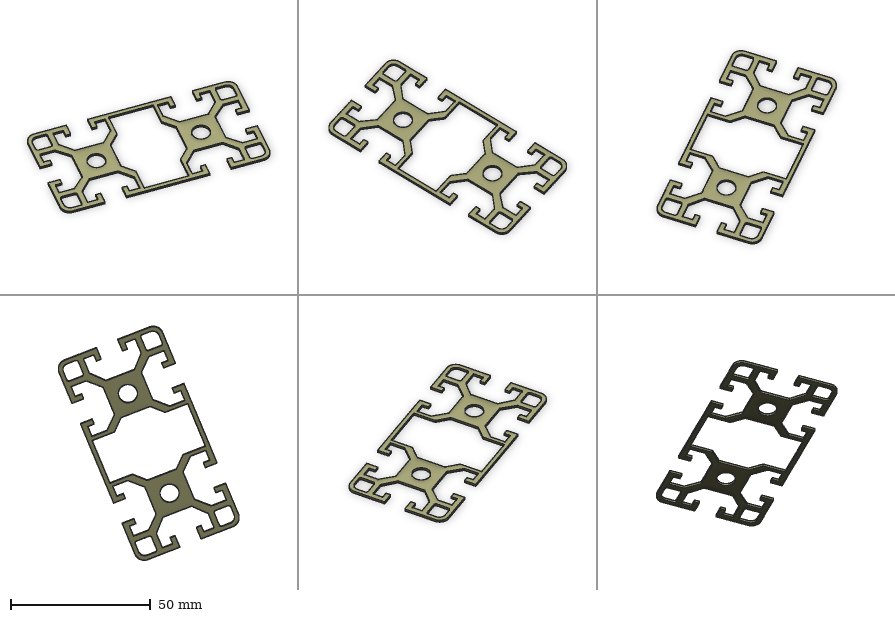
import cadquery as cq

CELL = 40.0
HALF_CELL = CELL / 2
WIDTH = CELL
LENGTH = 2 * CELL
THICKNESS = 1.0
CORNER_RADIUS = 3.55
CELL_CENTERS_Y = (-HALF_CELL, HALF_CELL)

BORE_DIAMETER = 6.8
CORE_HALF_WIDTH = 7.4

SLOT_MOUTH_HALF_WIDTH = 4.1
SLOT_FLOOR_HALF_WIDTH = 5.5
CHAMBER_HALF_WIDTH = 10.0
LIP_LENGTH = 4.55
LIP_WIDTH = 1.9
SKIN_THICKNESS = 2.05
CHAMBER_DEPTH = 7.85

OUTER_WALL = 1.55
POCKET_FAR_SIDE = 7.9
POCKET_OUTER_RADIUS = 2.4
POCKET_SMALL_RADIUS = 0.8

CAVITY_HALF_WIDTH = HALF_CELL - OUTER_WALL
CAVITY_HALF_LENGTH = 8.55
CAVITY_TAPER_START_X = 9.75
CAVITY_TAPER_END_X = 5.6
CAVITY_END_Y = HALF_CELL - CORE_HALF_WIDTH


def make_plate():
    """Rounded rectangular blank, centered in X and Y, standing on Z = 0."""
    blank = cq.Workplane("XY").rect(WIDTH, LENGTH).extrude(THICKNESS)
    return blank.edges("|Z").fillet(CORNER_RADIUS)


def make_slot(center_y, angle):
    """T-slot open toward +Y of a cell, turned by angle about the cell center."""
    lip_inner = HALF_CELL - LIP_LENGTH
    chamber_top = HALF_CELL - SKIN_THICKNESS
    taper_start = HALF_CELL - CHAMBER_DEPTH
    lip_back = SLOT_MOUTH_HALF_WIDTH + LIP_WIDTH
    right_side = [
        (SLOT_MOUTH_HALF_WIDTH, HALF_CELL),
        (SLOT_MOUTH_HALF_WIDTH, lip_inner),
        (lip_back, lip_inner),
        (lip_back, chamber_top),
        (CHAMBER_HALF_WIDTH, chamber_top),
        (CHAMBER_HALF_WIDTH, taper_start),
        (SLOT_FLOOR_HALF_WIDTH, CORE_HALF_WIDTH),
    ]
    left_side = [(-x, y) for x, y in reversed(right_side)]
    slot = cq.Workplane("XY").polyline(right_side + left_side).close().extrude(THICKNESS)
    return slot.rotate((0, 0, 0), (0, 0, 1), angle).translate((0, center_y, 0))


def make_corner_pocket():
    """Through pocket in the +X +Y corner, with a large radius at the outside."""
    size = POCKET_FAR_SIDE - OUTER_WALL
    center_inset = (POCKET_FAR_SIDE + OUTER_WALL) / 2
    pocket = cq.Workplane("XY").rect(size, size).extrude(THICKNESS)
    pocket = pocket.edges("|Z").edges(">(1, 1, 0)").fillet(POCKET_OUTER_RADIUS)
    half_size = size / 2
    for x_sign, y_sign in ((-1, -1), (-1, 1), (1, -1)):
        corner = cq.selectors.NearestToPointSelector(
            (x_sign * half_size, y_sign * half_size, THICKNESS / 2)
        )
        pocket = pocket.edges("|Z").edges(corner).fillet(POCKET_SMALL_RADIUS)
    return pocket.translate((WIDTH / 2 - center_inset, LENGTH / 2 - center_inset, 0))


def make_central_cavity():
    """Through cavity between the cells, tapering toward each core."""
    upper_half = [
        (CAVITY_HALF_WIDTH, CAVITY_HALF_LENGTH),
        (CAVITY_TAPER_START_X, CAVITY_HALF_LENGTH),
        (CAVITY_TAPER_END_X, CAVITY_END_Y),
        (-CAVITY_TAPER_END_X, CAVITY_END_Y),
        (-CAVITY_TAPER_START_X, CAVITY_HALF_LENGTH),
        (-CAVITY_HALF_WIDTH, CAVITY_HALF_LENGTH),
    ]
    lower_half = [(-x, -y) for x, y in upper_half]
    return cq.Workplane("XY").polyline(upper_half + lower_half).close().extrude(THICKNESS)


def make_bores():
    """Round through bore at the center of each cell."""
    centers = [(0, y) for y in CELL_CENTERS_Y]
    return cq.Workplane("XY").pushPoints(centers).circle(BORE_DIAMETER / 2).extrude(THICKNESS)


def make_profile():
    """Blank with the slots, corner pockets, central cavity and bores removed."""
    profile = make_plate().cut(make_central_cavity()).cut(make_bores())

    lower_y, upper_y = CELL_CENTERS_Y
    slot_places = (
        (upper_y, 0),
        (upper_y, 90),
        (upper_y, -90),
        (lower_y, 90),
        (lower_y, -90),
        (lower_y, 180),
    )
    for center_y, angle in slot_places:
        profile = profile.cut(make_slot(center_y, angle))

    right_upper = make_corner_pocket()
    left_upper = right_upper.mirror("YZ")
    for pocket in (right_upper, left_upper):
        profile = profile.cut(pocket).cut(pocket.mirror("XZ"))
    return profile


result = make_profile()